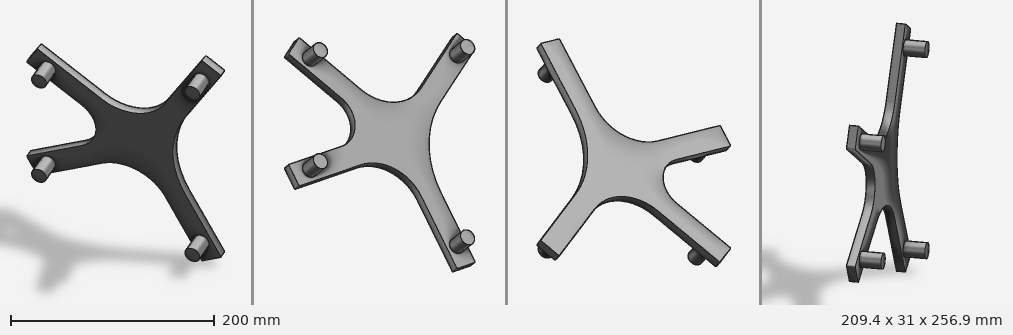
import cadquery as cq
import math

arm_length = 141.8
arm_width = 24.0
tip_corner_radius = 1.0
plate_thickness = 9.0
total_depth = 31.0
pin_diameter = 16.0
right_pin_distance = 120.3
left_pin_distance = 121.5
arm_angles = [60, 150, 210, 300]
pin_distances = [right_pin_distance, left_pin_distance, left_pin_distance, right_pin_distance]

side_blend = 50.0
left_blend = 30.0
right_blend = 100.0
blend_radii = [side_blend, left_blend, side_blend, right_blend]

half_width = arm_width / 2
pin_length = total_depth - plate_thickness


def arm_point(angle, along, across):
    """Point at a distance along an arm and across it (positive is counter-clockwise)."""
    a = math.radians(angle)
    return (along * math.cos(a) - across * math.sin(a), along * math.sin(a) + across * math.cos(a))


def blend_points(angle, next_angle, radius):
    """Start, middle and end of the arc tangent to the facing edges of two neighbouring arms."""
    half_gap = math.radians((next_angle - angle) % 360) / 2
    center_distance = (half_width + radius) / math.sin(half_gap)
    tangent_along = center_distance * math.cos(half_gap)
    bisector = angle + math.degrees(half_gap)
    return (
        arm_point(angle, tangent_along, half_width),
        arm_point(bisector, center_distance - radius, 0),
        arm_point(next_angle, tangent_along, -half_width),
    )


def make_plate():
    """Four-armed plate, with its pin face on the XZ plane and its thickness along +Y."""
    outline = cq.Workplane("XZ").moveTo(*arm_point(arm_angles[0], arm_length, -half_width))
    next_angles = arm_angles[1:] + arm_angles[:1]
    for angle, next_angle, radius in zip(arm_angles, next_angles, blend_radii):
        start, middle, end = blend_points(angle, next_angle, radius)
        outline = outline.lineTo(*arm_point(angle, arm_length, half_width))
        outline = outline.lineTo(*start).threePointArc(middle, end)
        if next_angle != arm_angles[0]:
            outline = outline.lineTo(*arm_point(next_angle, arm_length, -half_width))
    plate = outline.close().extrude(-plate_thickness)
    for angle in arm_angles:
        for across in (-half_width, half_width):
            x, z = arm_point(angle, arm_length, across)
            corner = cq.selectors.NearestToPointSelector((x, plate_thickness / 2, z))
            plate = plate.edges("|Y").edges(corner).fillet(tip_corner_radius)
    return plate


def make_pins():
    """One round pin near the end of each arm, pointing toward -Y."""
    centers = [arm_point(angle, along, 0) for angle, along in zip(arm_angles, pin_distances)]
    return cq.Workplane("XZ").pushPoints(centers).circle(pin_diameter / 2).extrude(pin_length)


result = make_plate().union(make_pins())